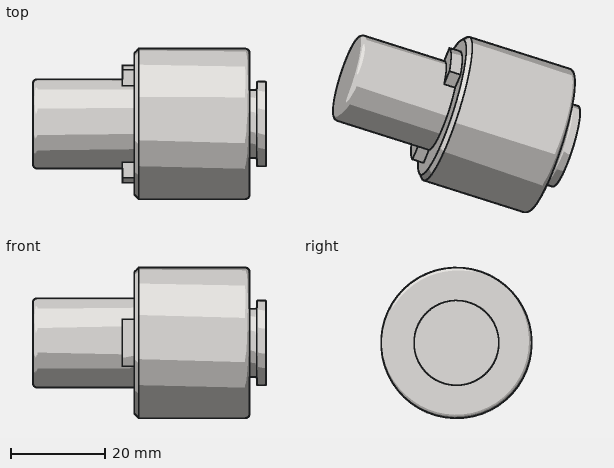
import cadquery as cq

SHAFT_LENGTH = 21.5
BODY_LENGTH = 24.5
NECK_LENGTH = 1.5
FLANGE_LENGTH = 2.0

SHAFT_DIAMETER = 19.0
BODY_DIAMETER = 32.0
NECK_DIAMETER = 14.5
FLANGE_DIAMETER = 18.0

SHAFT_TIP_FILLET = 1.0
BODY_FRONT_CHAMFER = 1.0
BODY_REAR_FILLET = 1.0
FLANGE_FILLET = 0.3

LUG_OUTER_DIAMETER = 25.0
LUG_WIDTH = 10.0
LUG_HEIGHT = 2.5

SHAFT_START = -SHAFT_LENGTH
NECK_START = BODY_LENGTH
FLANGE_START = NECK_START + NECK_LENGTH


def cylinder_along_x(start, length, diameter):
    """Cylinder on the X axis, running from start towards +X."""
    return cq.Workplane("YZ", origin=(start, 0, 0)).circle(diameter / 2).extrude(length)


def make_shaft():
    """Plain shaft with a rounded free end."""
    shaft = cylinder_along_x(SHAFT_START, SHAFT_LENGTH, SHAFT_DIAMETER)
    return shaft.faces("<X").edges().fillet(SHAFT_TIP_FILLET)


def make_body():
    """Main body, chamfered at the shaft end and rounded at the flange end."""
    body = cylinder_along_x(0, BODY_LENGTH, BODY_DIAMETER)
    body = body.faces("<X").edges().chamfer(BODY_FRONT_CHAMFER)
    return body.faces(">X").edges().fillet(BODY_REAR_FILLET)


def make_lugs():
    """Both lugs as one flat-sided bar with round ends, crossing the shaft along Y."""
    disc = cylinder_along_x(-LUG_HEIGHT, LUG_HEIGHT, LUG_OUTER_DIAMETER)
    bar = (
        cq.Workplane("YZ", origin=(-LUG_HEIGHT, 0, 0))
        .rect(LUG_OUTER_DIAMETER, LUG_WIDTH)
        .extrude(LUG_HEIGHT)
    )
    return disc.intersect(bar)


def make_neck_and_flange():
    """Narrow neck and end flange, with rounded rims and a fillet where they meet."""
    neck = cylinder_along_x(NECK_START, NECK_LENGTH, NECK_DIAMETER)
    flange = cylinder_along_x(FLANGE_START, FLANGE_LENGTH, FLANGE_DIAMETER)
    return neck.union(flange).edges("%CIRCLE and (not <X)").fillet(FLANGE_FILLET)


result = (
    make_body()
    .union(make_shaft())
    .union(make_lugs())
    .union(make_neck_and_flange())
)